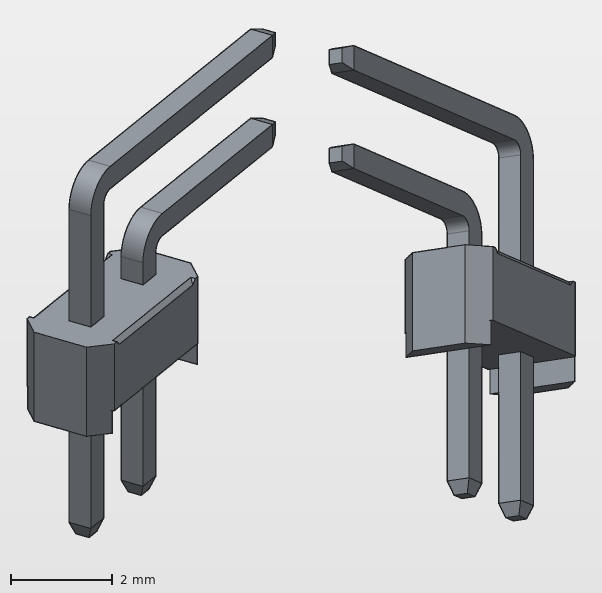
import cadquery as cq
import math

pin_count = 2
pitch = 2.0
housing_width = pitch
housing_length = pin_count * pitch
housing_height = 2.0
corner_chamfer = 0.4
foot_length = 0.37
foot_height = 0.5
edge_bevel = 0.1
edge_bevel_length = 3.0
edge_bevel_angle = 45

wire = 0.5
inner_bend_radius = 0.25
outer_bend_radius = inner_bend_radius + wire
pin_bottom_z = -2.8
pin_end_y = 6.0
tip_length = 0.28
tip_end_width = 0.3
front_pin_y = -(pin_count - 1) * pitch / 2
front_pin_axis_z = 5.0


def make_housing():
    """Chamfered block with a cross channel underneath and beveled top side edges."""
    block = cq.Workplane("XY").box(
        housing_width, housing_length, housing_height, centered=(True, True, False)
    )
    block = block.edges("|Z").chamfer(corner_chamfer)

    channel = cq.Workplane("XY").box(
        housing_width, housing_length - 2 * foot_length, foot_height, centered=(True, True, False)
    )
    block = block.cut(channel)

    for side in (-1, 1):
        block = block.cut(make_edge_bevel(side))
    return block


def make_edge_bevel(side):
    """Cutter narrowing downwards at the bevel angle; it breaks out through the side wall."""
    cutter_width = 4 * edge_bevel
    cutter_x = side * (housing_width / 2 - edge_bevel + cutter_width / 2)
    return (
        cq.Workplane("XY", origin=(cutter_x, 0, housing_height))
        .rect(cutter_width, edge_bevel_length)
        .extrude(-edge_bevel, taper=edge_bevel_angle)
    )


def make_tip(base, direction):
    """Tapered square end of a pin, growing from base along direction."""
    taper = math.degrees(math.atan2((wire - tip_end_width) / 2, tip_length))
    plane = cq.Plane(origin=base, xDir=(1, 0, 0), normal=direction)
    return cq.Workplane(plane).rect(wire, wire).extrude(tip_length, taper=taper)


def make_pin(leg_y, arm_z):
    """Vertical leg on the axis Y = leg_y, bent into an arm on the axis Z = arm_z."""
    leg_start_z = pin_bottom_z + tip_length
    arm_stop_y = pin_end_y - tip_length
    outer_y = leg_y - wire / 2
    inner_y = leg_y + wire / 2
    outer_z = arm_z + wire / 2
    inner_z = arm_z - wire / 2
    bend_y = outer_y + outer_bend_radius
    bend_z = outer_z - outer_bend_radius
    diagonal = math.sqrt(0.5)
    outer_mid = (bend_y - outer_bend_radius * diagonal, bend_z + outer_bend_radius * diagonal)
    inner_mid = (bend_y - inner_bend_radius * diagonal, bend_z + inner_bend_radius * diagonal)

    bent_wire = (
        cq.Workplane("YZ")
        .moveTo(outer_y, leg_start_z)
        .lineTo(outer_y, bend_z)
        .threePointArc(outer_mid, (bend_y, outer_z))
        .lineTo(arm_stop_y, outer_z)
        .lineTo(arm_stop_y, inner_z)
        .lineTo(bend_y, inner_z)
        .threePointArc(inner_mid, (inner_y, bend_z))
        .lineTo(inner_y, leg_start_z)
        .close()
        .extrude(wire / 2, both=True)
    )
    leg_tip = make_tip((0, leg_y, leg_start_z), (0, 0, -1))
    arm_tip = make_tip((0, arm_stop_y, arm_z), (0, 1, 0))
    return bent_wire.union(leg_tip).union(arm_tip)


result = make_housing()
for row in range(pin_count):
    result = result.union(make_pin(front_pin_y + row * pitch, front_pin_axis_z - row * pitch))